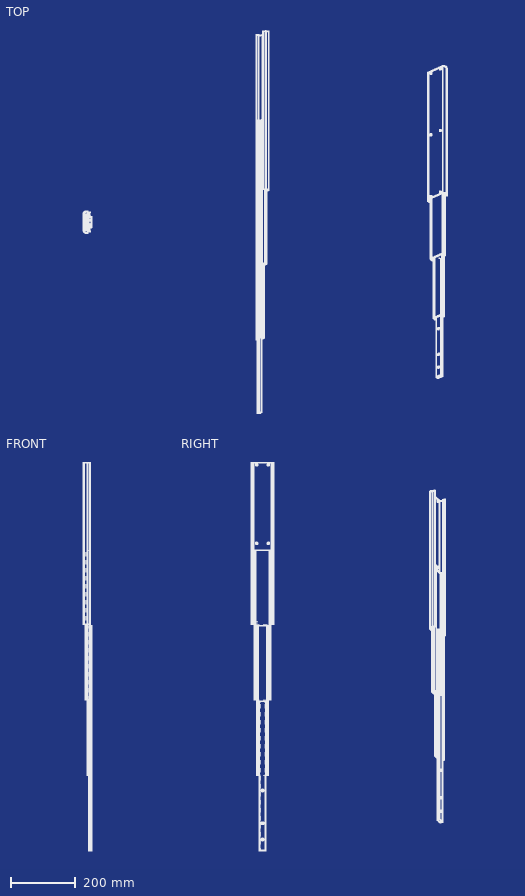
import cadquery as cq
import math


outer_length = 500.0
total_length = 1200.0
inner_length = 462.0
stroke = (total_length - outer_length) / 3
outer_bottom = total_length - outer_length
second_bottom = outer_bottom - stroke
third_bottom = second_bottom - stroke
bar_bottom = 0.0

total_width = 68.53
total_depth = 25.2

outer_half_width = total_width / 2
outer_wall = 1.8
outer_depth = 20.5
raceway_radius = 10.7
raceway_x = 10.0
raceway_y = outer_half_width - raceway_radius
lip_start = 13.5
lip_half_width = 30.4
mount_hole_diameter = 5.0
mount_hole_y = 18.0
mount_hole_pitch = 243.0

second_back = 6.0
second_tip = 20.0
second_half_width = 25.1
third_back = 12.2
third_tip = total_depth
third_half_width = 18.0
groove_length = 6.8
groove_depth = 2.2
lip_drop = 2.1
lip_mid_drop = lip_drop / 4
middle_wall = 2.7

bar_back = 16.2
bar_half_width = 9.3
bar_groove_start = 17.3
bar_groove_end = 23.3
bar_groove_depth = 2.2
bar_hole_diameter = 6.0
bar_hole_heights = (34.5, 85.0, 186.0)


def on_circle(x, radius):
    """Point at depth x on the +Y side of a circle about the raceway centre."""
    return (x, raceway_y + math.sqrt(radius**2 - (x - raceway_x) ** 2))


def mirrored_solid(half_section, length, bottom):
    """Extrude a closed +Y half section upwards and join it to its mirror image."""
    half = half_section.extrude(length).translate((0, 0, bottom))
    return half.union(half.mirror("XZ")).clean()


def holes_through(diameter, places):
    """Cutters along X through the whole depth, one at each (y, z) place."""
    return cq.Workplane("YZ").pushPoints(places).circle(diameter / 2).extrude(total_depth)


def build_outer_rail():
    inner_radius = raceway_radius - outer_wall
    inner_step = lip_start - outer_wall
    lip_inside = lip_half_width - outer_wall
    section = (
        cq.Workplane("XY")
        .lineTo(*on_circle(0, raceway_radius))
        .threePointArc((raceway_x, outer_half_width), on_circle(lip_start, raceway_radius))
        .lineTo(lip_start, lip_half_width)
        .lineTo(outer_depth, lip_half_width)
        .lineTo(outer_depth, lip_inside)
        .lineTo(inner_step, lip_inside)
        .lineTo(*on_circle(inner_step, inner_radius))
        .threePointArc((raceway_x, outer_half_width - outer_wall), on_circle(outer_wall, inner_radius))
        .lineTo(outer_wall, 0)
        .close()
    )
    rail = mirrored_solid(section, outer_length, outer_bottom)
    middle = outer_bottom + outer_length / 2
    places = [
        (side * mount_hole_y, middle + row * mount_hole_pitch)
        for side in (-1, 1)
        for row in (-1, 0, 1)
    ]
    return rail.cut(holes_through(mount_hole_diameter, places))


def build_middle_rail(back, tip, half_width, bottom):
    seam = back + groove_length
    lip_middle = (seam + tip) / 2
    groove_middle = back + groove_length / 2
    inside = half_width - middle_wall
    section = (
        cq.Workplane("XY")
        .moveTo(back, 0)
        .lineTo(back, half_width)
        .threePointArc((groove_middle, half_width - groove_depth), (seam, half_width))
        .threePointArc((lip_middle, half_width - lip_mid_drop), (tip, half_width - lip_drop))
        .lineTo(tip, inside - lip_drop)
        .threePointArc((lip_middle, inside - lip_mid_drop), (seam, inside))
        .lineTo(groove_middle, inside - groove_depth)
        .lineTo(back + middle_wall, inside - groove_depth)
        .lineTo(back + middle_wall, 0)
        .close()
    )
    return mirrored_solid(section, inner_length, bottom)


def build_inner_bar():
    groove_middle = (bar_groove_start + bar_groove_end) / 2
    section = (
        cq.Workplane("XY")
        .moveTo(bar_back, 0)
        .lineTo(bar_back, bar_half_width)
        .lineTo(bar_groove_start, bar_half_width)
        .threePointArc(
            (groove_middle, bar_half_width - bar_groove_depth), (bar_groove_end, bar_half_width)
        )
        .lineTo(total_depth, bar_half_width)
        .lineTo(total_depth, 0)
        .close()
    )
    bar = mirrored_solid(section, inner_length, bar_bottom)
    places = [(0, height) for height in bar_hole_heights]
    return bar.cut(holes_through(bar_hole_diameter, places))


outer_rail = build_outer_rail()
second_rail = build_middle_rail(second_back, second_tip, second_half_width, second_bottom)
third_rail = build_middle_rail(third_back, third_tip, third_half_width, third_bottom)
inner_bar = build_inner_bar()

result = cq.Compound.makeCompound(
    [outer_rail.val(), second_rail.val(), third_rail.val(), inner_bar.val()]
)